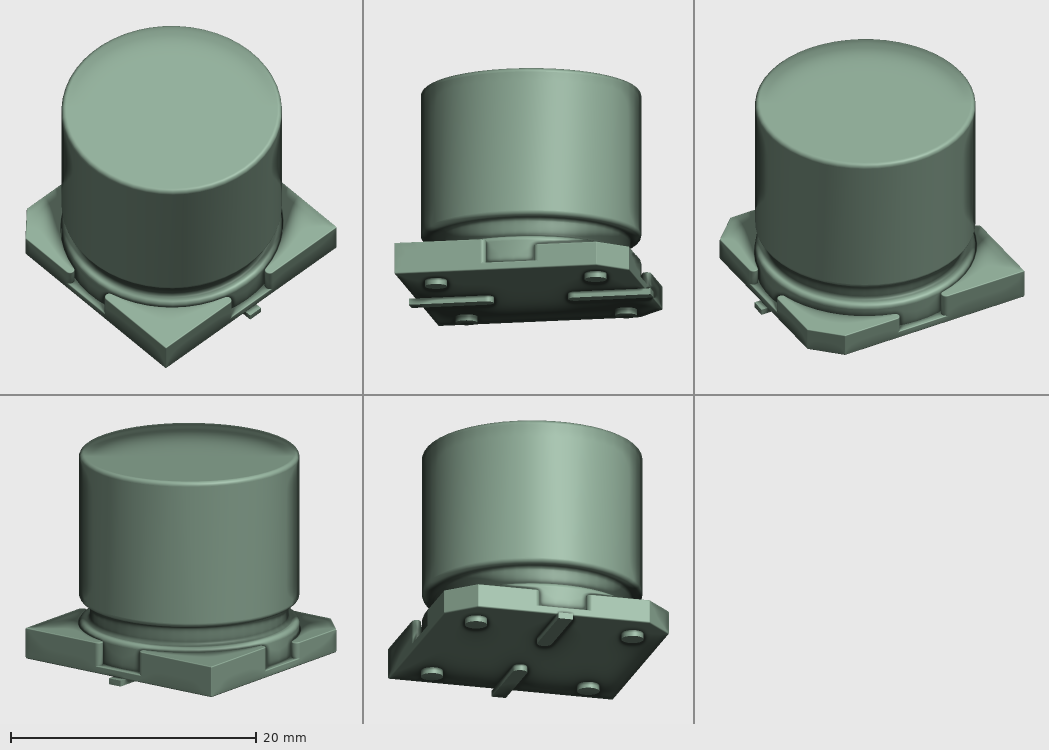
import cadquery as cq
import math

total_length = 20.1
total_height = 17.5
base_side = 19.1

base_bottom = 0.5
notch_floor = 1.15
low_block_top = 2.5
high_block_top = 3.12

corner_cut = 2.27
edge_round = 0.08
bottom_round = 0.12
notch_half_width = 1.99
block_outer_round = 0.4
block_inner_round = 0.35
seat_gap = 0.08

can_radius = 18.0 / 2
groove_radius = 16.2 / 2
can_top_round = 0.36
shoulder_round = 0.4
groove_round = 0.3
lower_shoulder = 3.44
upper_shoulder = 5.13

terminal_width = 1.2
terminal_inner_end = 3.1
foot_diameter = 1.8
foot_offset = 6.63

seat_radius = can_radius + seat_gap
half_side = base_side / 2
half_length = total_length / 2


def disc(radius, bottom, top):
    """Upright cylinder on the Z axis."""
    return cq.Workplane("XY").workplane(offset=bottom).circle(radius).extrude(top - bottom)


def base_prism(bottom, top):
    """Square prism with its two -X corners cut at 45 degrees and its upright edges rounded."""
    prism = cq.Workplane("XY").workplane(offset=bottom).rect(base_side, base_side).extrude(top - bottom)
    return prism.edges("|Z and <X").chamfer(corner_cut).edges("|Z").fillet(edge_round)


def corner_block(x_side, y_side, top):
    """One raised corner of the base, hollowed to the can and rounded where it meets the notches."""
    reach = half_side - notch_half_width
    centre = notch_half_width + reach / 2
    bottom = base_bottom + bottom_round
    quadrant = (
        cq.Workplane("XY")
        .workplane(offset=bottom)
        .center(x_side * centre, y_side * centre)
        .rect(reach, reach)
        .extrude(top - bottom)
    )
    block = base_prism(bottom, top).intersect(quadrant).cut(disc(seat_radius, bottom, top))

    seat_end = math.sqrt(seat_radius**2 - notch_half_width**2)
    for distance, radius in ((half_side, block_outer_round), (seat_end, block_inner_round)):
        for x, y in ((notch_half_width, distance), (distance, notch_half_width)):
            corner = cq.selectors.NearestToPointSelector((x_side * x, y_side * y, (bottom + top) / 2))
            block = block.edges("|Z").edges(corner).fillet(radius)
    return block.faces(">Z").edges().fillet(edge_round)


def make_base():
    """Thin slab carrying four corner blocks; the two +X blocks are taller."""
    slab = base_prism(base_bottom, notch_floor)
    slab = slab.faces(">Z").edges().fillet(edge_round).faces("<Z").edges().fillet(bottom_round)
    for x_side, top in ((-1, low_block_top), (1, high_block_top)):
        for y_side in (-1, 1):
            slab = slab.union(corner_block(x_side, y_side, top))
    return slab


def make_can():
    """Can with a rounded rim, and a groove between two rounded shoulders."""
    can = disc(can_radius, base_bottom + bottom_round, total_height)
    groove = disc(can_radius, lower_shoulder, upper_shoulder)
    can = can.cut(groove.cut(disc(groove_radius, lower_shoulder, upper_shoulder)))

    smallest_circles = cq.selectors.RadiusNthSelector(0)
    largest_circles = cq.selectors.RadiusNthSelector(-1)
    can = can.edges("%CIRCLE").edges(smallest_circles).fillet(groove_round)
    for shoulder in (">Z[1]", "<Z[1]"):
        can = can.faces("|Z").faces(shoulder).edges(largest_circles).fillet(shoulder_round)
    return can.faces(">Z").edges().fillet(can_top_round)


def make_terminal(x_side):
    """Flat terminal with a full-round inner end."""
    end_radius = terminal_width / 2
    round_centre = terminal_inner_end + end_radius
    length = half_length - round_centre
    plate = cq.Workplane("XY").center(x_side * (round_centre + length / 2), 0)
    plate = plate.rect(length, terminal_width).extrude(base_bottom)
    return plate.union(disc(end_radius, 0, base_bottom).translate((x_side * round_centre, 0, 0)))


def make_feet():
    """Four round standoffs under the corners of the base."""
    spacing = 2 * foot_offset
    return cq.Workplane("XY").rarray(spacing, spacing, 2, 2).circle(foot_diameter / 2).extrude(base_bottom)


result = make_base().union(make_can()).union(make_feet())
for side in (-1, 1):
    result = result.union(make_terminal(side))